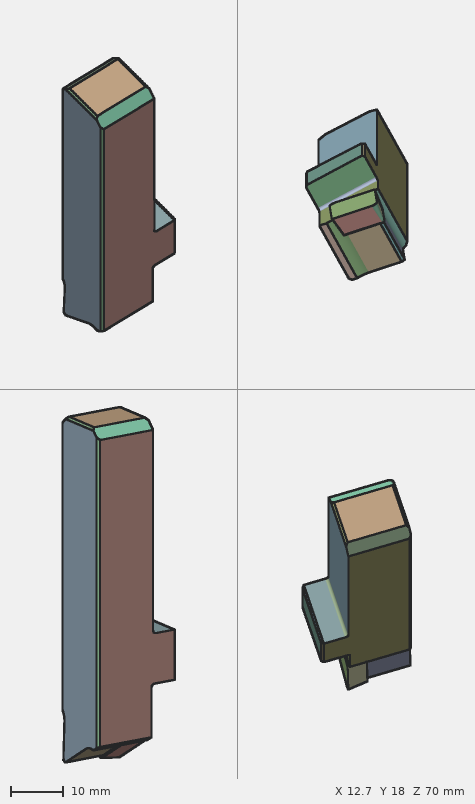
import cadquery as cq
import math


SIDE = 12.7
HEIGHT = 70.0
TOP_CORNER = 2.0
FRONT_EDGE = 0.5
TOP_EDGE = 0.5

LUG_BACK = 18.0
LUG_BOTTOM = 17.5
LUG_BOTTOM_RISE = 0.6
LUG_TOP = 27.5
LUG_EDGE = 0.4
LUG_FILLET = 0.6
BACK_STEP = 0.35

LEFT_TILT = 2.7
POINT_ANGLE = 55.0
INSCRIBED_DIAMETER = 9.5
INSERT_THICKNESS = 4.0
CLEARANCE_ANGLE = 7.0
NOSE_RADIUS = 0.8

FLANK_INSET = 0.8
TIP_CUT = 0.85
RELIEF_RADIUS = 3.0
LEFT_RELIEF_Z = 9.4
LOWER_RELIEF_X = 8.55
END_RIGHT_Z = 7.0

LOWER_TILT = 90 - LEFT_TILT - POINT_ANGLE
LEFT_DIR = cq.Vector(math.sin(math.radians(LEFT_TILT)), math.cos(math.radians(LEFT_TILT)))
LOWER_DIR = cq.Vector(math.cos(math.radians(LOWER_TILT)), math.sin(math.radians(LOWER_TILT)))
LEFT_OUTWARD = cq.Vector(-LEFT_DIR.y, LEFT_DIR.x)
LOWER_OUTWARD = cq.Vector(LOWER_DIR.y, -LOWER_DIR.x)
HALF_POINT = math.radians(POINT_ANGLE / 2)
BISECTOR = (LEFT_DIR + LOWER_DIR).normalized()

NOSE_CENTER = cq.Vector(NOSE_RADIUS, NOSE_RADIUS)
SHARP_POINT = NOSE_CENTER - BISECTOR * (NOSE_RADIUS / math.sin(HALF_POINT))
EDGE_LENGTH = INSCRIBED_DIAMETER / math.sin(math.radians(POINT_ANGLE))
SHANK_POINT = SHARP_POINT + BISECTOR * (FLANK_INSET / math.sin(HALF_POINT))


def xy(vector):
    """Plane coordinates of a vector."""
    return (vector.x, vector.y)


def extrude_along_y(outline, y_start, y_end):
    """Solid from a closed XZ outline between two Y positions."""
    return (
        cq.Workplane("XZ", origin=(0, y_start, 0))
        .polyline(outline)
        .close()
        .extrude(y_start - y_end)
    )


def make_insert():
    """Rhombic insert, full size at the rear face and tapering toward the front."""
    lower_corner = SHARP_POINT + LOWER_DIR * EDGE_LENGTH
    left_corner = SHARP_POINT + LEFT_DIR * EDGE_LENGTH
    far_corner = lower_corner + LEFT_DIR * EDGE_LENGTH
    corners = [SHARP_POINT, lower_corner, far_corner, left_corner]
    rhombus = cq.Sketch().polygon([xy(corner) for corner in corners + [SHARP_POINT]])
    return (
        cq.Workplane("XZ", origin=(0, SIDE, 0))
        .placeSketch(rhombus.vertices().fillet(NOSE_RADIUS))
        .extrude(INSERT_THICKNESS, taper=CLEARANCE_ANGLE)
    )


def make_blank():
    """Square shank with a sloped lower end and all of its edge chamfers."""
    end_left_z = END_RIGHT_Z - SIDE * math.tan(math.radians(LOWER_TILT))
    outline = [(0, end_left_z), (SIDE, END_RIGHT_Z), (SIDE, HEIGHT), (0, HEIGHT)]
    return (
        extrude_along_y(outline, 0, SIDE)
        .edges("|Z and <Y")
        .chamfer(FRONT_EDGE)
        .edges("|Y and >Z")
        .chamfer(TOP_CORNER)
        .faces(">Z")
        .edges("|X")
        .chamfer(TOP_EDGE)
    )


def add_lug(shank):
    """Rear lug with a sloped underside, chamfered outer edges and filleted roots."""
    left_bottom = LUG_BOTTOM + LUG_BOTTOM_RISE
    underside = [(0, left_bottom), (SIDE, LUG_BOTTOM)]
    lug = (
        extrude_along_y(underside + [(SIDE, LUG_TOP), (0, LUG_TOP)], SIDE / 2, LUG_BACK)
        .edges("(|Z and >Y) or (>Y and >Z)")
        .chamfer(LUG_EDGE)
    )
    below_lug = underside + [(SIDE, 0), (0, 0)]
    step = extrude_along_y(below_lug, SIDE - BACK_STEP, SIDE)
    shank = shank.cut(step).union(lug)
    upper_root = cq.selectors.NearestToPointSelector((SIDE / 2, SIDE, LUG_TOP))
    lower_root = cq.selectors.NearestToPointSelector(
        (SIDE / 2, SIDE - BACK_STEP, LUG_BOTTOM + LUG_BOTTOM_RISE / 2)
    )
    return shank.edges(upper_root + lower_root).fillet(LUG_FILLET)


def make_flank_cut(start, direction, outward, length):
    """Waste outside one flank, ending in a concave run-out tangent to the flank."""
    end = start + direction * length
    depth = outward * RELIEF_RADIUS
    before = start - direction * SIDE
    arc_mid = end + depth + (direction - outward) * (RELIEF_RADIUS / math.sqrt(2))
    arc_end = end + depth + direction * RELIEF_RADIUS
    far = outward * SIDE
    return (
        cq.Workplane("XZ")
        .moveTo(*xy(before))
        .lineTo(*xy(end))
        .threePointArc(xy(arc_mid), xy(arc_end))
        .lineTo(*xy(arc_end + far))
        .lineTo(*xy(before + far))
        .close()
        .extrude(-SIDE)
    )


def cut_flanks(shank):
    """Both flanks and the small flat across the tip."""
    left_length = (LEFT_RELIEF_Z - SHANK_POINT.y) / LEFT_DIR.y
    lower_length = (LOWER_RELIEF_X - SHANK_POINT.x) / LOWER_DIR.x
    shank = shank.cut(make_flank_cut(SHANK_POINT, LEFT_DIR, LEFT_OUTWARD, left_length))
    shank = shank.cut(make_flank_cut(SHANK_POINT, LOWER_DIR, LOWER_OUTWARD, lower_length))
    tip = [SHANK_POINT, SHANK_POINT + LOWER_DIR * TIP_CUT, SHANK_POINT + LEFT_DIR * TIP_CUT]
    return shank.cut(extrude_along_y([xy(point) for point in tip], 0, SIDE))


insert = make_insert()
holder = cut_flanks(add_lug(make_blank())).cut(insert)

result = cq.Compound.makeCompound([holder.val(), insert.val()])